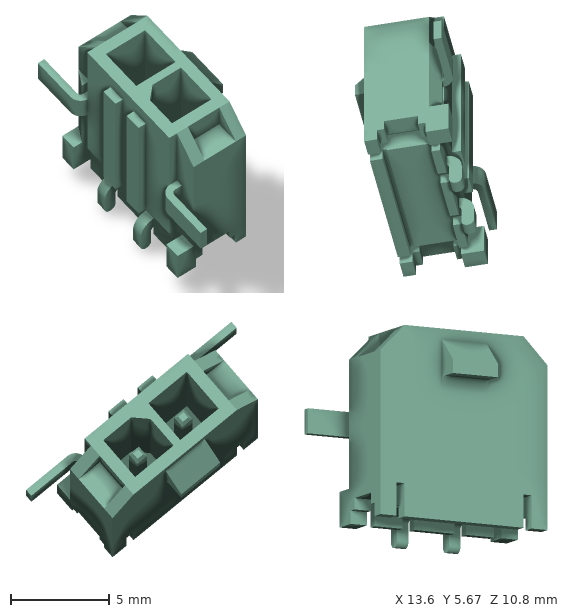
import cadquery as cq


height = 9.9
half_width = 4.83
core_half_width = 3.44
core_depth = 3.85
side_depth = 3.36
ledge_z = 1.84
base_depth = 3.65
wall = 0.65

shoulder = half_width - core_half_width
shoulder_z = height - shoulder
pocket_front = 2.66

pitch = 3.0
cavity_width = 2.55
cavity_front = 3.17
cavity_floor_z = 2.46
key_chamfer = 0.7
pin = 0.65
pin_y = -1.94
pin_top_z = 7.37
pin_tip_flat = 0.35
pin_tip_height = 0.27
pin_run_top_z = 1.25
pin_bend = 0.9
pin_foot_z = -0.85
pin_slot_roof_z = 1.35
pin_slot_back = 3.59

rib_width = 1.0
rib_pitch = 1.94
rib_front = 4.31
rib_top_z = 9.04

latch_half_width = 1.3
latch_reach = 1.23
latch_top_z = 9.34
latch_bottom_z = 7.4
root_reach = 0.34
root_drop = 0.61
root_radius = 0.72

foot_width = 0.94
foot_front = 4.38
gap_roof_z = 1.72
channel_front = 3.2
channel_roof_z = 0.68
notch_back = 1.02
notch_front = 2.78
notch_roof_z = 1.27
pad_back = 0.86

wedge_top_z = 6.62

tab_thickness = 0.41
tab_bend = 0.65
tab_front = 4.44
tab_bottom_z = 4.64
tab_top_z = 5.94
left_tab_reach = 6.81
right_tab_reach = 6.84

pin_run_bottom_z = pin_run_top_z - pin
foot_inner_x = half_width - foot_width


def box(x0, x1, y0, y1, z0, z1):
    """Box between two corners."""
    return cq.Workplane("XY").box(x1 - x0, y1 - y0, z1 - z0, centered=False).translate((x0, y0, z0))


def extrude_along_x(outline, half_length, centre_x=0):
    """Extrude a sketch of the YZ plane equally to both sides of centre_x."""
    return outline.extrude(half_length, both=True).translate((centre_x, 0, 0))


def make_shell():
    """Side walls with chamfered shoulders, the core block, its overhang and the feet."""
    sides = (
        cq.Workplane("XZ")
        .moveTo(-half_width, 0)
        .lineTo(half_width, 0)
        .lineTo(half_width, shoulder_z)
        .lineTo(core_half_width, height)
        .lineTo(-core_half_width, height)
        .lineTo(-half_width, shoulder_z)
        .close()
        .extrude(side_depth)
    )
    base = box(-core_half_width, core_half_width, -base_depth, 0, 0, ledge_z)
    core = box(-core_half_width, core_half_width, -core_depth, 0, ledge_z, height)
    shell = sides.union(base).union(core)
    for x0 in (-half_width, foot_inner_x):
        shell = shell.union(box(x0, x0 + foot_width, -foot_front, 0, 0, ledge_z))
    for x0 in (-half_width, core_half_width):
        shell = shell.cut(box(x0, x0 + shoulder, -pocket_front, -wall, shoulder_z, height))
    return shell


def cut_underside(shell):
    """Gaps beside the feet, the cross channel with its pad, and the notches in the side walls."""
    for x0, x1 in ((-foot_inner_x, -core_half_width), (core_half_width, foot_inner_x)):
        shell = shell.cut(box(x0, x1, -foot_front, 0, 0, gap_roof_z))
    shell = shell.cut(box(-half_width, half_width, -channel_front, -wall, 0, channel_roof_z))
    for x0 in (-half_width, foot_inner_x):
        shell = shell.cut(box(x0, x0 + foot_width, -notch_front, -notch_back, 0, notch_roof_z))
    pad = box(-core_half_width, core_half_width, -channel_front, -pad_back, pin_run_bottom_z, channel_roof_z)
    return shell.union(pad)


def make_cavity(centre_x):
    """Space for one contact, open at the top."""
    half = cavity_width / 2
    return box(centre_x - half, centre_x + half, -cavity_front, -wall, cavity_floor_z, height)


def make_pin_slot(centre_x):
    """Slot through the front wall below a pin, with a shallow clearance above the pin."""
    half = pin / 2
    slot = box(centre_x - half, centre_x + half, -base_depth, -channel_front, 0, pin_run_bottom_z)
    clearance = box(centre_x - half, centre_x + half, -base_depth, -pin_slot_back, 0, pin_slot_roof_z)
    return slot.union(clearance)


def make_pin(centre_x):
    """Square pin: tapered post, run to the front, bend and a foot with a round end."""
    half = pin / 2
    taper_z = pin_top_z - pin_tip_height
    post = box(centre_x - half, centre_x + half, pin_y - half, pin_y + half, pin_run_bottom_z, taper_z)
    tip = (
        cq.Workplane("XY", origin=(centre_x, pin_y, taper_z))
        .rect(pin, pin)
        .workplane(offset=pin_tip_height)
        .rect(pin_tip_flat, pin_tip_flat)
        .loft(ruled=True)
    )
    bend_y = pin_bend - tab_front
    bend_z = pin_run_top_z - pin_bend
    foot_end_z = pin_foot_z + half
    tail_outline = (
        cq.Workplane("YZ")
        .moveTo(pin_y + half, pin_run_top_z)
        .lineTo(bend_y, pin_run_top_z)
        .radiusArc((-tab_front, bend_z), -pin_bend)
        .lineTo(-tab_front, foot_end_z)
        .threePointArc((half - tab_front, pin_foot_z), (pin - tab_front, foot_end_z))
        .lineTo(pin - tab_front, bend_z)
        .radiusArc((bend_y, pin_run_bottom_z), pin_bend - pin)
        .lineTo(pin_y + half, pin_run_bottom_z)
        .close()
    )
    return post.union(tip).union(extrude_along_x(tail_outline, half, centre_x))


def make_latch():
    """Hook on the back with a sloped lead-in and a curved root."""
    outline = (
        cq.Workplane("YZ")
        .moveTo(0, latch_top_z)
        .lineTo(latch_reach, latch_top_z - latch_reach)
        .lineTo(latch_reach, latch_bottom_z)
        .lineTo(root_reach, latch_bottom_z)
        .radiusArc((0, latch_bottom_z - root_drop), -root_radius)
        .close()
    )
    return extrude_along_x(outline, latch_half_width)


def make_rib(centre_x):
    """Upright rib on the front of the core."""
    half = rib_width / 2
    return box(centre_x - half, centre_x + half, -rib_front, -core_depth, ledge_z, rib_top_z)


def make_wedge():
    """Triangular block above the left foot."""
    outline = [
        (-half_width, -side_depth),
        (-foot_inner_x, -side_depth),
        (-foot_inner_x, -core_depth),
    ]
    return cq.Workplane("XY", origin=(0, 0, ledge_z)).polyline(outline).close().extrude(wedge_top_z - ledge_z)


def make_tab(reach):
    """Solder tab on the right: a strip from the side step, bent outwards to the given X."""
    outer_x = core_half_width + tab_thickness
    bend_x = core_half_width + tab_bend
    bend_y = tab_bend - tab_front
    inner_y = tab_thickness - tab_front
    return (
        cq.Workplane("XY", origin=(0, 0, tab_bottom_z))
        .moveTo(core_half_width, -side_depth)
        .lineTo(core_half_width, bend_y)
        .radiusArc((bend_x, -tab_front), -tab_bend)
        .lineTo(reach, -tab_front)
        .lineTo(reach, inner_y)
        .lineTo(bend_x, inner_y)
        .radiusArc((outer_x, bend_y), tab_bend - tab_thickness)
        .lineTo(outer_x, -side_depth)
        .close()
        .extrude(tab_top_z - tab_bottom_z)
    )


def make_housing():
    """Housing with its pins and the left solder tab."""
    body = cut_underside(make_shell())
    left_x = -pitch / 2
    right_x = pitch / 2
    keyed_cavity = make_cavity(right_x).edges("|Z and <X and <Y").chamfer(key_chamfer)
    body = body.cut(make_cavity(left_x)).cut(keyed_cavity)
    for centre_x in (left_x, right_x):
        body = body.cut(make_pin_slot(centre_x)).union(make_pin(centre_x))
    for centre_x in (-rib_pitch / 2, rib_pitch / 2):
        body = body.union(make_rib(centre_x))
    left_tab = make_tab(left_tab_reach).mirror("YZ")
    return body.union(make_latch()).union(make_wedge()).union(left_tab)


housing = make_housing()
right_tab = make_tab(right_tab_reach)

result = cq.Compound.makeCompound([housing.val(), right_tab.val()])